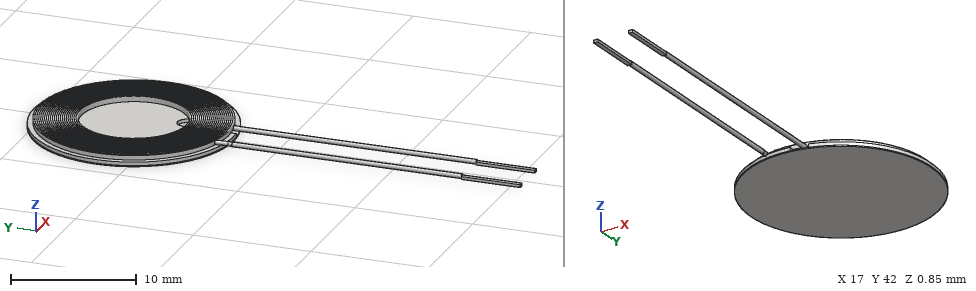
import cadquery as cq

BASE_DIAMETER = 17.0
FILM_THICKNESS = 0.1
FERRITE_THICKNESS = 0.3
FERRITE_TOP = FILM_THICKNESS + FERRITE_THICKNESS

SLOT_WIDTH = 1.6
SLOT_CENTRE_X = 1.4
SLOT_INNER_CENTRE_Y = -4.0

OVERALL_HEIGHT = 0.85
COIL_INNER_RADIUS = 4.45
COIL_OUTER_RADIUS = 8.05
TURNS = 23
TURN_PITCH = (COIL_OUTER_RADIUS - COIL_INNER_RADIUS) / TURNS
GROOVE_SHOULDER = OVERALL_HEIGHT - TURN_PITCH / 2

LEAD_DIAMETER = 0.4
LEAD_X = 1.65
LEAD_Z = 0.4
TIP_LENGTH = 5.0
TIP_HEIGHT = 0.25
TIP_END_Y = -33.5
TIP_START_Y = TIP_END_Y + TIP_LENGTH
LEFT_LEAD_START_Y = -9.0
RIGHT_LEAD_START_Y = -7.8

TAIL_DIAMETER = 0.36
TAIL_START = (-2.3, -7.7, 0.65)
TAIL_BEND = (-LEAD_X, -8.6, LEAD_Z)
TAIL_END = (-LEAD_X, LEFT_LEAD_START_Y, LEAD_Z)


def disc(diameter, bottom, height):
    return cq.Workplane("XY").workplane(offset=bottom).circle(diameter / 2).extrude(height)


def make_film():
    return disc(BASE_DIAMETER, 0, FILM_THICKNESS)


def make_ferrite():
    """Disc with a round-ended slot for the lead, open at the rim."""
    length = BASE_DIAMETER / 2 + SLOT_INNER_CENTRE_Y
    round_end = disc(SLOT_WIDTH, 0, FERRITE_TOP)
    channel = cq.Workplane("XY").center(0, -length / 2).rect(SLOT_WIDTH, length).extrude(FERRITE_TOP)
    slot = round_end.union(channel).translate((SLOT_CENTRE_X, SLOT_INNER_CENTRE_Y, 0))
    return disc(BASE_DIAMETER, FILM_THICKNESS, FERRITE_THICKNESS).cut(slot)


def make_winding():
    """Ring whose top is one half-round bead per turn."""
    profile = cq.Workplane("XZ").moveTo(COIL_INNER_RADIUS, FERRITE_TOP)
    profile = profile.lineTo(COIL_INNER_RADIUS, GROOVE_SHOULDER)
    for turn in range(TURNS):
        start = COIL_INNER_RADIUS + turn * TURN_PITCH
        crest = (start + TURN_PITCH / 2, OVERALL_HEIGHT)
        profile = profile.threePointArc(crest, (start + TURN_PITCH, GROOVE_SHOULDER))
    profile = profile.lineTo(COIL_OUTER_RADIUS, FERRITE_TOP).close()
    return profile.revolve(360, (0, 0, 0), (0, 1, 0))


def rod(start, end, diameter):
    direction = cq.Vector(*end) - cq.Vector(*start)
    cylinder = cq.Solid.makeCylinder(diameter / 2, direction.Length, cq.Vector(*start), direction)
    return cq.Workplane(cylinder)


def make_tail():
    """Bent wire end, trimmed where it lies on the ferrite."""
    base = disc(BASE_DIAMETER, 0, FERRITE_TOP)
    elbow = cq.Workplane("XY").sphere(TAIL_DIAMETER / 2).translate(TAIL_BEND)
    sloped = rod(TAIL_START, TAIL_BEND, TAIL_DIAMETER)
    straight = rod(TAIL_BEND, TAIL_END, TAIL_DIAMETER)
    return sloped.union(elbow).union(straight).cut(base)


def make_lead(x, start_y):
    """Straight round lead, trimmed where it passes under the winding."""
    winding_space = disc(2 * COIL_OUTER_RADIUS, FERRITE_TOP, OVERALL_HEIGHT)
    return rod((x, start_y, LEAD_Z), (x, TIP_START_Y, LEAD_Z), LEAD_DIAMETER).cut(winding_space)


def make_tip(x):
    tip = cq.Workplane("XY").box(LEAD_DIAMETER, TIP_LENGTH, TIP_HEIGHT, centered=(True, False, False))
    return tip.translate((x, TIP_END_Y, LEAD_Z - LEAD_DIAMETER / 2))


film = make_film()
ferrite = make_ferrite()
coil = make_winding().union(make_tail())
bodies = [film, ferrite, coil]
for lead_x, lead_start_y in ((-LEAD_X, LEFT_LEAD_START_Y), (LEAD_X, RIGHT_LEAD_START_Y)):
    bodies.append(make_lead(lead_x, lead_start_y))
    bodies.append(make_tip(lead_x))

result = cq.Compound.makeCompound([body.solids().val() for body in bodies])